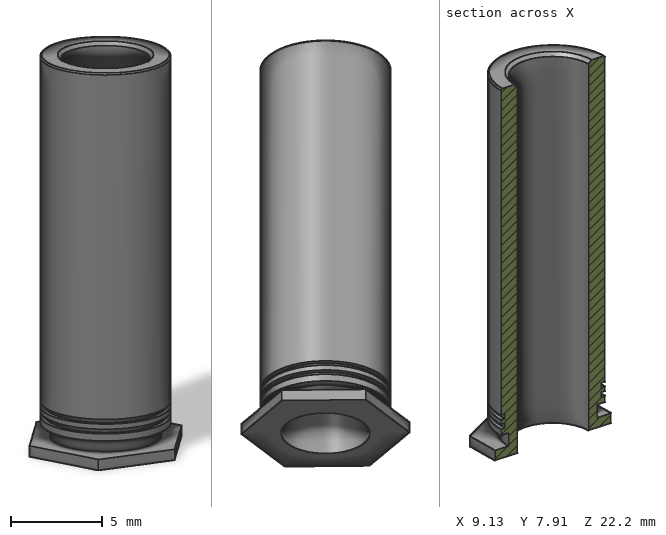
import cadquery as cq
import math

total_height = 22.23
flange_across_flats = 7.91
flange_across_corners = flange_across_flats * 2 / math.sqrt(3)
flange_thickness = 0.62

body_diameter = 7.11
groove_diameter = 6.6
neck_diameter = 6.1
bore_diameter = 4.82

neck_top = 1.38
lower_ring_top = 1.78
groove_width = 0.27
upper_ring_width = 0.3
upper_ring_bottom = lower_ring_top + groove_width
upper_groove_bottom = upper_ring_bottom + upper_ring_width

outer_chamfer = 0.1
bore_chamfer = 0.2


def cylinder(diameter, bottom, top):
    """Solid cylinder on the Z axis between two heights."""
    return cq.Workplane("XY").workplane(offset=bottom).circle(diameter / 2).extrude(top - bottom)


def ring_groove(bottom):
    """Annular cutter for one groove around the sleeve."""
    top = bottom + groove_width
    return cylinder(body_diameter, bottom, top).cut(cylinder(groove_diameter, bottom, top))


flange = cq.Workplane("XY").polygon(6, flange_across_corners).extrude(flange_thickness)
neck = cylinder(neck_diameter, 0, neck_top)

body = cylinder(body_diameter, neck_top, total_height).faces(">Z").edges().chamfer(outer_chamfer)

for groove_bottom in (lower_ring_top, upper_groove_bottom):
    body = body.cut(ring_groove(groove_bottom))

bore = cylinder(bore_diameter, 0, total_height)
bore_mouth = cq.Workplane("XY").add(
    cq.Solid.makeCone(
        bore_diameter / 2,
        bore_diameter / 2 + bore_chamfer,
        bore_chamfer,
        pnt=cq.Vector(0, 0, total_height - bore_chamfer),
    )
)

result = flange.union(neck).union(body).cut(bore).cut(bore_mouth)